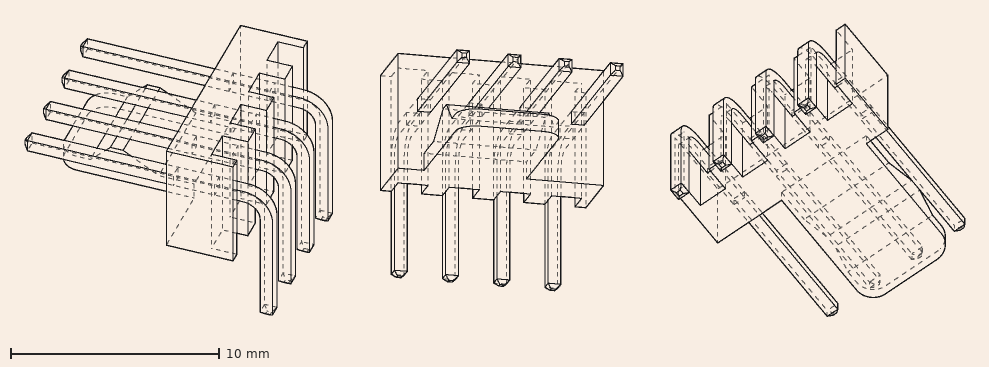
import cadquery as cq


pin_count = 4
pitch = 2.54
pin_width = 0.64
pin_length_x = 12.76
pin_center_z = 3.29
tail_depth = 3.83
bend_outer_radius = 1.48
bend_inner_radius = bend_outer_radius - pin_width
tip_chamfer = 0.2

housing_front_x = 7.68
housing_depth = 3.42
housing_width = 10.2
housing_height = 5.83
slot_depth = 1.3
slot_width = 1.49

tab_front_x = 0.68
tab_thickness = 0.87
tab_width = 2 * pitch
tab_center_y = pitch / 2
tab_corner_radius = 1.0
ridge_height = 1.91
ridge_front_x = 2.36
ridge_crest_front_x = 3.4
ridge_crest_back_x = 4.05
ridge_back_x = 5.87

housing_back_x = housing_front_x + housing_depth
slot_front_x = housing_back_x - slot_depth
pin_ys = [(i - (pin_count - 1) / 2) * pitch for i in range(pin_count)]


def make_pin(y):
    """L-shaped square pin with a pointed front end and a pointed tail."""
    half = pin_width / 2
    top_z = pin_center_z + half
    bottom_z = pin_center_z - half
    tail_x = pin_length_x - pin_width
    bend_x = pin_length_x - bend_outer_radius
    bend_z = top_z - bend_outer_radius
    bend_center = cq.Vector(bend_x, 0, bend_z)
    diagonal = cq.Vector(1, 0, 1).normalized()
    outer_mid = bend_center + diagonal * bend_outer_radius
    inner_mid = bend_center + diagonal * bend_inner_radius
    return (
        cq.Workplane("XZ", origin=(0, y + half, 0))
        .moveTo(0, top_z)
        .lineTo(bend_x, top_z)
        .threePointArc((outer_mid.x, outer_mid.z), (pin_length_x, bend_z))
        .lineTo(pin_length_x, -tail_depth)
        .lineTo(tail_x, -tail_depth)
        .lineTo(tail_x, bend_z)
        .threePointArc((inner_mid.x, inner_mid.z), (bend_x, bottom_z))
        .lineTo(0, bottom_z)
        .close()
        .extrude(pin_width)
        .faces("<X or <Z")
        .chamfer(tip_chamfer)
    )


def make_tab():
    """Flat tab with rounded front corners and a ridge that catches the mating part."""
    profile = [
        (tab_front_x, 0),
        (tab_front_x, tab_thickness),
        (ridge_front_x, tab_thickness),
        (ridge_crest_front_x, ridge_height),
        (ridge_crest_back_x, ridge_height),
        (ridge_back_x, tab_thickness),
        (housing_front_x, tab_thickness),
        (housing_front_x, 0),
    ]
    return (
        cq.Workplane("XZ", origin=(0, tab_center_y + tab_width / 2, 0))
        .polyline(profile)
        .close()
        .extrude(tab_width)
        .edges("|Z and <X")
        .fillet(tab_corner_radius)
    )


def make_housing():
    """Block with the locking tab in front, slots at the back and a square hole for each pin."""
    body = cq.Workplane("XY").box(
        housing_depth, housing_width, housing_height, centered=(False, True, False)
    )
    body = body.translate((housing_front_x, 0, 0)).union(make_tab())
    for y in pin_ys:
        slot = cq.Workplane("XY").box(
            slot_depth, slot_width, housing_height, centered=(False, True, False)
        )
        hole = cq.Workplane("XY").box(
            housing_depth, pin_width, pin_width, centered=(False, True, True)
        )
        body = body.cut(slot.translate((slot_front_x, y, 0)))
        body = body.cut(hole.translate((housing_front_x, y, pin_center_z)))
    return body


housing = make_housing()
pins = [make_pin(y).solids().val() for y in pin_ys]

result = cq.Compound.makeCompound([housing.solids().val(), *pins])